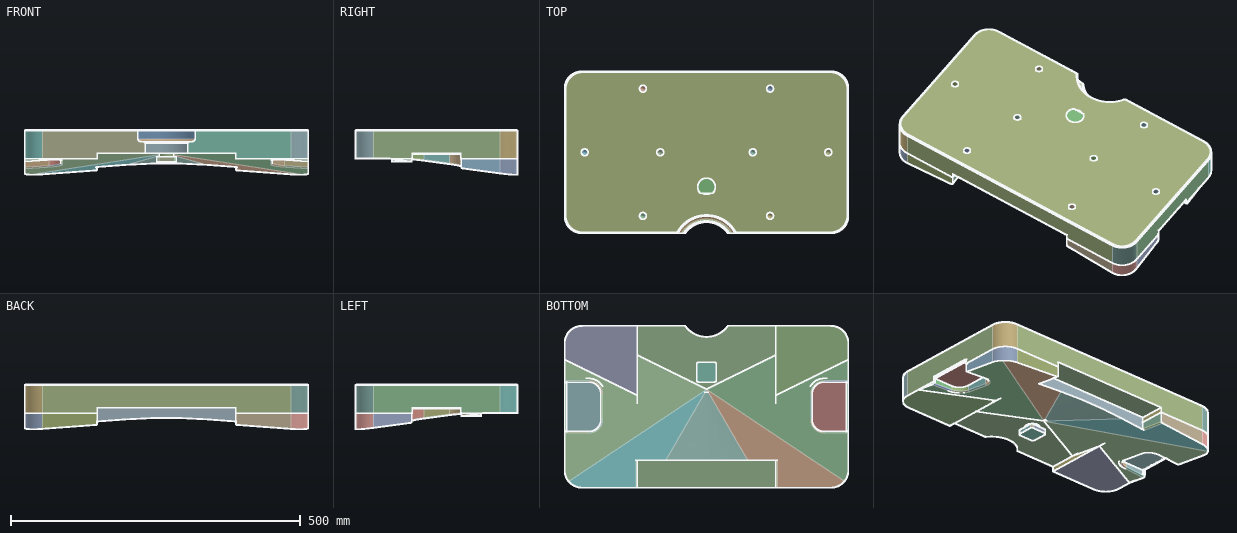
import cadquery as cq
import math

LENGTH = 490.0
WIDTH = 280.0
CORNER_RADIUS = 30.5
TOP_CHAMFER = 2.0
SLAB_DEPTH = 50.0

CHANNEL_WIDTH = 239.0
CEILING_DEPTH = 40.5
CEILING_Z = -CEILING_DEPTH

HOLE_DIAMETER = 12.0
HOLE_DEPTH = 24.5
HOLE_POINT_ANGLE = 118
CORNER_HOLE = 110.0
INNER_HOLE_X = 80.0
OUTER_HOLE_X = 210.0

RECESS_OFFSET = 26.0
RECESS_RADIUS = 56.0
RECESS_DEPTH = 20.5
RECESS_FILLET = 5.0
MOUTH_RADIUS = 45.0
MOUTH_CHAMFER = 2.5

GRIP_LENGTH = 61.5
GRIP_WIDTH = 83.5
GRIP_CLEARANCE = 1.0
GRIP_RADIUS = 19.5
GRIP_ROOF = 2.0
GRIP_WALL = 7.5
END_SKIN = 4.0
EDGE_FILLET = 2.5

APEX_Y = -30.5
OUTER_FALL_X = 0.066
OUTER_FALL_Y = 0.134
INNER_FALL_X = 0.074
INNER_FALL_Y = 0.122
VALLEY_SPREAD = 0.58
VALLEY_START = 5.0
NOTCH_Y = 92.5

LATCH_Y = -60.0
HEAD_RADIUS = 15.0
HEAD_FLAT = 11.5
HEAD_DEPTH = 14.5
STEM_RADIUS = 12.5
KNOB_WIDTH = 34.5
KNOB_EDGE_RADIUS = 4.0
KNOB_TOP_DEPTH = 47.0
KNOB_BOTTOM_DEPTH = 55.0

FRONT_Y = -WIDTH / 2
BACK_Y = WIDTH / 2
DEEP = 98.0
EDGE_TOLERANCE = 0.5


def block(x_size, y_min, y_max, z_min, z_max):
    """Box centred on X = 0."""
    size = (x_size, y_max - y_min, z_max - z_min)
    return cq.Workplane("XY", origin=(0, y_min, z_min)).box(*size, centered=(True, False, False))


def cylinder(radius, y, top_depth, bottom_depth):
    """Upright cylinder on X = 0."""
    return cq.Workplane("XY", origin=(0, y, -bottom_depth)).circle(radius).extrude(bottom_depth - top_depth)


def board(top_depth, bottom_depth):
    """Rounded rectangle with the full outline."""
    base = cq.Workplane("XY", origin=(0, 0, -bottom_depth)).rect(LENGTH, WIDTH)
    return base.extrude(bottom_depth - top_depth).edges("|Z").fillet(CORNER_RADIUS)


def grips(offset, top_depth):
    """Rounded pockets that open through both ends, widened by an offset."""
    return (
        cq.Workplane("XY", origin=(0, 0, -DEEP))
        .pushPoints([(-LENGTH / 2, 0), (LENGTH / 2, 0)])
        .rect(2 * (GRIP_LENGTH + offset), GRIP_WIDTH + 2 * offset)
        .extrude(DEEP - top_depth)
        .edges("|Z")
        .fillet(GRIP_RADIUS + offset)
    )


def grip_liners():
    """Raised parts of the wedge around the grip pockets, behind the end skins of the slab."""
    inside = block(LENGTH - 2 * END_SKIN, FRONT_Y, BACK_Y, -SLAB_DEPTH, CEILING_Z)
    return grips(GRIP_WALL, CEILING_DEPTH).intersect(inside)


def latch_head():
    head = cylinder(HEAD_RADIUS, LATCH_Y, 0, HEAD_DEPTH)
    return head.intersect(block(2 * HEAD_RADIUS, LATCH_Y - HEAD_FLAT, LATCH_Y + HEAD_RADIUS, -HEAD_DEPTH, 0))


def screw_hole_points():
    rows = [(CORNER_HOLE, CORNER_HOLE), (INNER_HOLE_X, 0), (OUTER_HOLE_X, 0)]
    return sorted({(sx * x, sy * y) for x, y in rows for sx in (-1, 1) for sy in (-1, 1)})


def screw_hole():
    """Drilled hole on the Z axis with a conical end."""
    radius = HOLE_DIAMETER / 2
    point_length = radius / math.tan(math.radians(HOLE_POINT_ANGLE / 2))
    return (
        cq.Workplane("XZ")
        .moveTo(0, 0)
        .lineTo(radius, 0)
        .lineTo(radius, -HOLE_DEPTH)
        .lineTo(0, -HOLE_DEPTH - point_length)
        .close()
        .revolve()
    )


def front_recess():
    """Wide filleted seat over a narrower mouth with a chamfered rim."""
    centre_y = FRONT_Y - RECESS_OFFSET
    seat = cylinder(RECESS_RADIUS, centre_y, 0, RECESS_DEPTH).faces("<Z").edges().fillet(RECESS_FILLET)
    mouth = cylinder(MOUTH_RADIUS, centre_y, 0, SLAB_DEPTH)
    rim_radius = MOUTH_RADIUS + MOUTH_CHAMFER
    rim = cylinder(rim_radius, centre_y, 0, RECESS_DEPTH + MOUTH_CHAMFER)
    rim = rim.faces("<Z").edges().chamfer(MOUTH_CHAMFER)
    return seat.union(mouth).union(rim)


def make_slab():
    slab = board(0, SLAB_DEPTH)
    slab = slab.cut(block(CHANNEL_WIDTH, FRONT_Y, BACK_Y, -SLAB_DEPTH, CEILING_Z))
    slab = slab.cut(grips(0, CEILING_DEPTH)).cut(grip_liners())
    slab = slab.cut(front_recess())
    slab = slab.faces(">Z").edges().chamfer(TOP_CHAMFER)
    for x, y in screw_hole_points():
        slab = slab.cut(screw_hole().translate((x, y, 0)))
    slab = slab.cut(latch_head())
    return slab.cut(cylinder(STEM_RADIUS, LATCH_Y, 0, CEILING_DEPTH))


def above_plane(fall_x, fall_y):
    """Block above the plane through the apex that falls towards +X and +Y."""
    plane = cq.Plane(origin=(0, APEX_Y, CEILING_Z), xDir=(1, 0, -fall_x), normal=(fall_x, fall_y, 1))
    return cq.Workplane(plane).rect(4 * LENGTH, 4 * LENGTH).extrude(2 * DEEP)


def valley_section(run):
    """Cross-section of the valley blend at a distance behind the apex."""
    half_width = VALLEY_SPREAD * run
    edge_drop = INNER_FALL_Y * run + INNER_FALL_X * half_width
    middle_drop = INNER_FALL_Y * run + INNER_FALL_X * half_width / 2
    return (
        cq.Workplane("XZ", origin=(0, APEX_Y + run, CEILING_Z))
        .moveTo(-half_width, -edge_drop)
        .threePointArc((0, -middle_drop), (half_width, -edge_drop))
        .lineTo(0, -middle_drop / 2)
        .close()
        .val()
    )


def above_underside():
    """Space above the two sloping sides and the round valley between them."""
    side = above_plane(OUTER_FALL_X, OUTER_FALL_Y).intersect(above_plane(INNER_FALL_X, INNER_FALL_Y))
    side = side.intersect(cq.Workplane("XY").box(LENGTH, 2 * WIDTH, 2 * DEEP, centered=(False, True, True)))
    valley = cq.Solid.makeLoft([valley_section(VALLEY_START), valley_section(WIDTH)], True)
    return side.union(side.mirror("YZ")).union(cq.Workplane(valley))


def is_lower_rim(edge):
    """True for the lower edges of the grip pockets and of the two sides of the notch."""
    centre = edge.Center()
    grip_half_width = GRIP_WIDTH / 2 + GRIP_CLEARANCE + EDGE_TOLERANCE
    on_grip = abs(centre.x) > CHANNEL_WIDTH / 2 and abs(centre.y) < grip_half_width
    on_notch = abs(abs(centre.x) - CHANNEL_WIDTH / 2) < EDGE_TOLERANCE and NOTCH_Y < centre.y < BACK_Y
    below_slab = centre.z < -SLAB_DEPTH - EDGE_TOLERANCE
    return below_slab and (on_grip or on_notch)


def make_wedge():
    wedge = board(SLAB_DEPTH, DEEP)
    wedge = wedge.union(block(CHANNEL_WIDTH, FRONT_Y, BACK_Y, -SLAB_DEPTH, CEILING_Z))
    wedge = wedge.union(grip_liners())
    wedge = wedge.intersect(above_underside())
    wedge = wedge.cut(block(CHANNEL_WIDTH, NOTCH_Y, BACK_Y, -DEEP, CEILING_Z))
    wedge = wedge.cut(grips(GRIP_CLEARANCE, CEILING_DEPTH + GRIP_ROOF))
    return wedge.edges("not |Z").filter(is_lower_rim).fillet(EDGE_FILLET)


def make_latch():
    stem = cylinder(STEM_RADIUS, LATCH_Y, HEAD_DEPTH, KNOB_TOP_DEPTH)
    half = KNOB_WIDTH / 2
    knob = block(KNOB_WIDTH, LATCH_Y - half, LATCH_Y + half, -KNOB_BOTTOM_DEPTH, -KNOB_TOP_DEPTH)
    knob = knob.edges("|Z").fillet(KNOB_EDGE_RADIUS)
    return latch_head().union(stem).union(knob)


slab = make_slab()
wedge = make_wedge()
latch = make_latch()

result = cq.Compound.makeCompound([*slab.vals(), *wedge.vals(), *latch.vals()])